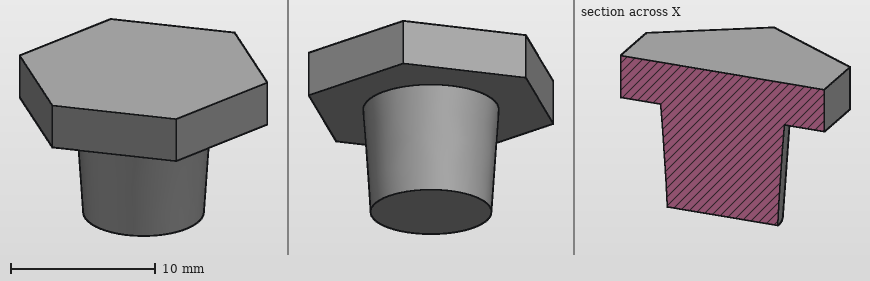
import cadquery as cq

ACROSS_CORNERS = 17.78
HEAD_THICKNESS = 3.175
SHANK_LENGTH = 7.62
SHANK_TOP_DIAMETER = 9.398
SHANK_END_DIAMETER = 8.382


def hex_head():
    """Hexagonal head with two corners on the X axis, sitting on the shank."""
    return (
        cq.Workplane("XY")
        .workplane(offset=SHANK_LENGTH)
        .polygon(6, ACROSS_CORNERS)
        .extrude(HEAD_THICKNESS)
    )


def tapered_shank():
    """Solid conical shank, narrowing towards its free end."""
    return (
        cq.Workplane("XY")
        .circle(SHANK_END_DIAMETER / 2)
        .workplane(offset=SHANK_LENGTH)
        .circle(SHANK_TOP_DIAMETER / 2)
        .loft(ruled=True)
    )


result = hex_head().union(tapered_shank())